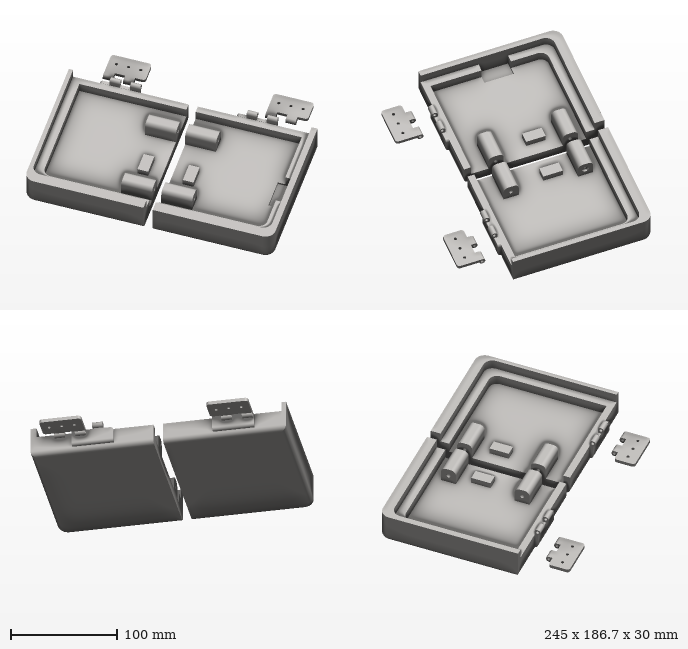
import cadquery as cq
LEFT, RIGHT = -1, 1

overall_length = 245.0
tray_gap = 9.0
tray_outer_x = overall_length / 2
tray_inner_x = tray_gap / 2
tray_depth = 141.9
tray_height = 30.0
corner_radius = 10.0
bottom_radius = 5.0

ledge_z = 20.0
floor_z = 10.0
front_wall = 10.0
left_wall = 4.2
right_wall = 6.0
ledge_front = 8.5
left_ledge = 8.3
right_ledge = 7.5
back_wall = 6.9
upper_hollow_radius = 9.0
lower_hollow_radius = 8.3

boss_length = 30.5
boss_width = 15.2
boss_height = 15.7
boss_radius = 5.1
boss_bore_z = floor_z + boss_height / 2
boss_bore_diameter = 4.0
front_boss_y = 34.5
boss_spacing = 75.0
recess_flats = 6.1
recess_depth = 2.5
block_inset = 12.5
block_width = 10.5
block_depth = 19.5
block_height = 6.1
block_y = 64.5

pocket_width = 15.0
pocket_depth = 29.6
pocket_y = 68.5
pocket_sink = 2.0

hinge_width = 40.0
knuckle_width = hinge_width / 4
knuckle_diameter = 6.1
knuckle_radius = knuckle_diameter / 2
hinge_bore_diameter = 3.0
leaf_thickness = 3.5
leaf_corner_radius = 3.0
knuckle_reach = 3.7
loose_leaf_depth = 21.0
screw_diameter = 3.0
screw_spacing = 12.0
screw_edge = 10.0
overall_depth = 186.7
loose_axis_y = overall_depth - loose_leaf_depth - knuckle_reach
loose_axis_z = 7.0
fixed_axis_y = tray_depth + knuckle_radius
fixed_axis_z = 24.0
fixed_leaf_bottom_z = 5.1
fixed_leaf_x = {LEFT: -92.4, RIGHT: 42.5}
loose_leaf_x = {LEFT: -94.5, RIGHT: 65.5}


def span_box(x0, x1, y0, y1, z0, z1):
    """Box between two corners, whichever way round the X limits are given."""
    return cq.Workplane("XY").box(abs(x1 - x0), y1 - y0, z1 - z0, centered=False).translate(
        (min(x0, x1), y0, z0)
    )


def outer_corner(side):
    """Selector of the vertical edge at the front, away from the gap."""
    return "|Z and <Y and " + ("<X" if side == LEFT else ">X")


def tray_shell(side):
    """Outer block with a rounded front corner and a bottom rounded everywhere but at the gap."""
    shell = span_box(side * tray_inner_x, side * tray_outer_x, 0, tray_depth, 0, tray_height)
    shell = shell.edges(outer_corner(side)).fillet(corner_radius)
    gap_face = ">X" if side == LEFT else "<X"
    return shell.faces("<Z").edges("not " + gap_face).fillet(bottom_radius)


def hollow(side, outer_x, front_y, back_y, bottom_z, radius):
    """One step of a tray's hollow, open at the top and at the gap."""
    step = span_box(side * tray_inner_x, side * outer_x, front_y, back_y, bottom_z, tray_height)
    return step.edges(outer_corner(side)).fillet(radius)


def boss(side, y):
    """Block standing on the floor, with its two long top edges rounded."""
    far_x = side * (tray_inner_x + boss_length)
    block = span_box(
        side * tray_inner_x, far_x,
        y - boss_width / 2, y + boss_width / 2,
        floor_z, floor_z + boss_height,
    )
    return block.edges("|X and >Z").fillet(boss_radius)


def boss_bore(side, y, recessed):
    """Bore along a boss, with a hexagonal recess at the end away from the gap if asked for."""
    bore_end = cq.Workplane("YZ", origin=(side * tray_inner_x, y, boss_bore_z))
    bore = bore_end.circle(boss_bore_diameter / 2).extrude(side * boss_length)
    if recessed:
        far_end = bore_end.workplane(offset=side * boss_length)
        upright = far_end.transformed(rotate=(0, 0, 30))
        hexagon = upright.polygon(6, recess_flats, circumscribed=True)
        bore = bore.union(hexagon.extrude(-side * recess_depth))
    return bore


def rest_block(side):
    """Low plain block on the floor, between the two bosses."""
    near_x = tray_inner_x + block_inset
    return span_box(
        side * near_x, side * (near_x + block_width),
        block_y - block_depth / 2, block_y + block_depth / 2,
        floor_z, floor_z + block_height,
    )


def knuckle(x, axis_y, axis_z, radius):
    """Cylinder along X, one knuckle long."""
    return cq.Workplane("YZ", origin=(x, axis_y, axis_z)).circle(radius).extrude(knuckle_width)


def fixed_leaf(x):
    """Upright leaf on the back face of a tray, with knuckles in its second and fourth quarters."""
    plate_top = fixed_axis_z - knuckle_reach
    outer_y = tray_depth + leaf_thickness
    leaf = span_box(x, x + hinge_width, tray_depth, outer_y, fixed_leaf_bottom_z, plate_top)
    leaf = leaf.edges("|Y and <X and >Z").fillet(leaf_corner_radius)
    leaf = leaf.edges("|X and >Y and <Z").fillet(leaf_corner_radius)
    for slot in (1, 3):
        knuckle_x = x + slot * knuckle_width
        tab = span_box(knuckle_x, knuckle_x + knuckle_width, tray_depth, outer_y, plate_top, fixed_axis_z)
        leaf = leaf.union(tab)
        leaf = leaf.union(knuckle(knuckle_x, fixed_axis_y, fixed_axis_z, knuckle_radius))
        leaf = leaf.cut(knuckle(knuckle_x, fixed_axis_y, fixed_axis_z, hinge_bore_diameter / 2))
    return leaf


def loose_leaf(x):
    """Flat leaf behind a tray, with knuckles in its first and third quarters and three screw holes."""
    plate_y = loose_axis_y + knuckle_reach
    top_z = loose_axis_z + knuckle_radius
    bottom_z = top_z - leaf_thickness
    leaf = span_box(x, x + hinge_width, plate_y, overall_depth, bottom_z, top_z)
    leaf = leaf.edges("|Z").edges(">X or >Y").fillet(leaf_corner_radius)
    for slot in (0, 2):
        knuckle_x = x + slot * knuckle_width
        leaf = leaf.union(
            span_box(knuckle_x, knuckle_x + knuckle_width, loose_axis_y, plate_y, bottom_z, top_z)
        )
        leaf = leaf.union(knuckle(knuckle_x, loose_axis_y, loose_axis_z, knuckle_radius))
        leaf = leaf.cut(knuckle(knuckle_x, loose_axis_y, loose_axis_z, hinge_bore_diameter / 2))
    screws = (
        cq.Workplane("XY", origin=(x + hinge_width / 2, overall_depth - screw_edge, bottom_z))
        .rarray(screw_spacing, 2.5, 3, 1)
        .circle(screw_diameter / 2)
        .extrude(leaf_thickness)
    )
    return leaf.cut(screws)


def tray(side, side_wall, side_ledge):
    """Tray with its stepped hollow, bosses, rest block and fixed hinge leaf."""
    upper_x = tray_outer_x - side_wall
    lower_x = upper_x - side_ledge
    lower_front = front_wall + ledge_front
    body = tray_shell(side)
    body = body.cut(hollow(side, upper_x, front_wall, tray_depth, ledge_z, upper_hollow_radius))
    body = body.cut(
        hollow(side, lower_x, lower_front, tray_depth - back_wall, floor_z, lower_hollow_radius)
    )
    if side == RIGHT:
        body = body.cut(
            span_box(
                upper_x - pocket_width, upper_x,
                pocket_y - pocket_depth / 2, pocket_y + pocket_depth / 2,
                floor_z - pocket_sink, ledge_z,
            )
        )
    for y in (front_boss_y, front_boss_y + boss_spacing):
        recessed = side == LEFT and y == front_boss_y
        body = body.union(boss(side, y))
        body = body.cut(boss_bore(side, y, recessed))
    body = body.union(rest_block(side))
    return body.union(fixed_leaf(fixed_leaf_x[side]))


left_tray = tray(LEFT, left_wall, left_ledge)
right_tray = tray(RIGHT, right_wall, right_ledge)
loose_leaves = [loose_leaf(x) for x in loose_leaf_x.values()]

result = cq.Compound.makeCompound(
    [left_tray.val(), right_tray.val(), *[leaf.val() for leaf in loose_leaves]]
)